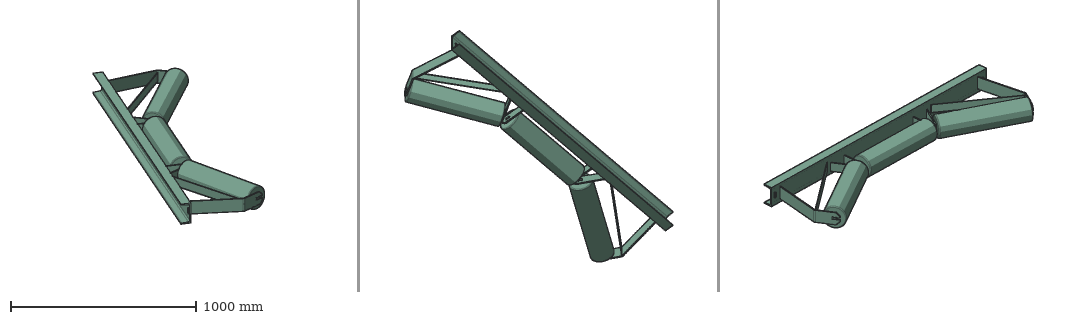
import cadquery as cq
import math

BEAM_LENGTH = 1700.0
BEAM_HEIGHT = 120.0
BEAM_WIDTH = 56.0
WEB_THICKNESS = 7.0
FLANGE_THICKNESS = 8.0
FLANGE_SLOPE = 0.08
ROOT_RADIUS = 8.0
TIP_RADIUS = 4.2
BOLT_SLOT_LENGTH = 35.0
BOLT_SLOT_WIDTH = 15.0
BOLT_SLOT_INSET = 30.0

ROLLER_DIAMETER = 135.0
ROLLER_LENGTH = 529.0
ROLLER_EDGE_RADIUS = 5.0
SHAFT_RADIUS = 12.0
SHAFT_FLAT_WIDTH = 14.0
CENTER_ROLLER_Y = 175.0
CENTER_ROLLER_Z = -17.0
TROUGH_ANGLE = 30.0
TILT_ANGLE = 2.0
SIDE_ROLLER_X = 542.0
SIDE_ROLLER_Y = 316.0
SIDE_ROLLER_Z = CENTER_ROLLER_Z + ROLLER_LENGTH / 2 * math.sin(math.radians(TILT_ANGLE))

ROLLER_GAP = 4.2
BRACKET_THICKNESS = 7.6
INNER_WIDTH = 55.0
INNER_BEND_RADIUS = 17.0
OUTER_WIDTH = 76.0
OUTER_BEND_RADIUS = 15.0
OUTER_BEND_DROP = 109.0
OUTER_TOP_RISE = 34.0
OUTER_END_CHAMFER = 22.0
OUTER_FOOT_X = 784.0
SHAFT_STUB = ROLLER_GAP + BRACKET_THICKNESS

TIE_THICKNESS = 5.0
TIE_WIDTH = 51.0
TIE_FOOT_X = 415.0

AXIS = cq.Vector(math.cos(math.radians(TROUGH_ANGLE)), -math.sin(math.radians(TROUGH_ANGLE)))
ACROSS = cq.Vector(-AXIS.y, AXIS.x)
SIDE_CENTER = cq.Vector(-SIDE_ROLLER_X, SIDE_ROLLER_Y)
FACE_REACH = ROLLER_LENGTH / 2 + ROLLER_GAP

OUTER_FACE = SIDE_CENTER - AXIS * (FACE_REACH + BRACKET_THICKNESS)
OUTER_BEND = OUTER_FACE - ACROSS * OUTER_BEND_DROP


def make_beam():
    """Channel along X with one upright bolt slot near each end of its web."""
    half = BEAM_HEIGHT / 2
    rise = FLANGE_SLOPE * BEAM_WIDTH / 2
    tip = half - FLANGE_THICKNESS + rise
    root = half - FLANGE_THICKNESS - rise + FLANGE_SLOPE * WEB_THICKNESS
    inside = BEAM_WIDTH - WEB_THICKNESS
    beam = (
        cq.Workplane("YZ")
        .polyline([
            (0, -half), (BEAM_WIDTH, -half), (BEAM_WIDTH, half), (0, half),
            (0, tip), (inside, root), (inside, -root), (0, -tip),
        ])
        .close()
        .extrude(BEAM_LENGTH / 2, both=True)
    )
    for side in (-1, 1):
        beam = beam.edges(cq.NearestToPointSelector((0, inside, side * root))).fillet(ROOT_RADIUS)
        beam = beam.edges(cq.NearestToPointSelector((0, 0, side * tip))).fillet(TIP_RADIUS)
    slots = (
        cq.Workplane("XZ")
        .pushPoints([(side * (BEAM_LENGTH / 2 - BOLT_SLOT_INSET), 0) for side in (-1, 1)])
        .slot2D(BOLT_SLOT_LENGTH, BOLT_SLOT_WIDTH, 90)
        .extrude(-BEAM_WIDTH)
    )
    return beam.cut(slots)


def centered_cylinder(radius, length):
    """Cylinder along X, centred on the origin."""
    start = cq.Plane(origin=(-length / 2, 0, 0), xDir=(0, 0, 1), normal=(1, 0, 0))
    return cq.Workplane(start).circle(radius).extrude(length)


def make_shaft():
    """Round bar along X with two flats facing +Z and -Z."""
    length = ROLLER_LENGTH + 2 * SHAFT_STUB
    bar = centered_cylinder(SHAFT_RADIUS, length)
    return bar.intersect(cq.Workplane().box(length, 2 * SHAFT_RADIUS, SHAFT_FLAT_WIDTH))


def make_roller():
    """Roller along X, centred on the origin, with its shaft ends."""
    shell = centered_cylinder(ROLLER_DIAMETER / 2, ROLLER_LENGTH)
    return shell.edges().fillet(ROLLER_EDGE_RADIUS).union(make_shaft())


def place_center(body):
    return body.translate((0, CENTER_ROLLER_Y, CENTER_ROLLER_Z))


def place_left(body):
    tilted = body.rotate((0, 0, 0), (0, 1, 0), TILT_ANGLE)
    turned = tilted.rotate((0, 0, 0), (0, 0, 1), -TROUGH_ANGLE)
    return turned.translate((-SIDE_ROLLER_X, SIDE_ROLLER_Y, SIDE_ROLLER_Z))


def to_side(body, side):
    """Left-hand bodies stay (-1) or are mirrored to the right (1)."""
    return body if side < 0 else body.mirror("YZ")


def line_at_y(point, direction, y):
    """Point where the line through point reaches the given Y."""
    return point + direction * ((y - point.y) / direction.y)


def trim_at_beam(body):
    """Cut away what reaches below the beam's back face."""
    block = cq.Workplane().box(2 * BEAM_LENGTH, BEAM_LENGTH, BEAM_LENGTH)
    return body.cut(block.translate((0, BEAM_WIDTH - BEAM_LENGTH / 2, 0)))


def extrude_outline(points, width):
    """Prism on an XY outline, its width centred on Z = 0."""
    outline = cq.Workplane("XY").polyline([(p.x, p.y) for p in points]).close()
    return outline.extrude(width / 2, both=True)


def bent_strip(start, corner, end, thickness, bend_radius, width):
    """Flat bar bent once; start-corner-end is its outer side, material lies to the right of it."""
    normals = []
    for a, b in ((start, corner), (corner, end)):
        along = (b - a).normalized()
        normals.append(cq.Vector(along.y, -along.x))
    first, second = normals
    inner_corner = corner + (first + second) * (thickness / (1 + first.dot(second)))
    points = [start, corner, end, end + second * thickness, inner_corner, start + first * thickness]
    strip = extrude_outline(points, width)
    for point, radius in ((corner, bend_radius), (inner_corner, bend_radius - thickness)):
        strip = strip.edges("|Z").edges(cq.NearestToPointSelector(point.toTuple())).fillet(radius)
    return strip


def make_inner_bracket():
    """Hooked bar that carries the left and centre rollers' neighbouring shaft ends."""
    side_face = SIDE_CENTER + AXIS * FACE_REACH
    center_face_x = -FACE_REACH
    apex = side_face + ACROSS * ((center_face_x - side_face.x) / ACROSS.x)
    left_foot = line_at_y(side_face, ACROSS, 0)
    right_foot = cq.Vector(center_face_x, 0)
    bar = bent_strip(left_foot, apex, right_foot, BRACKET_THICKNESS, INNER_BEND_RADIUS, INNER_WIDTH)
    bar = trim_at_beam(bar.translate((0, 0, CENTER_ROLLER_Z)))
    return bar.cut(place_center(make_shaft())).cut(place_left(make_shaft()))


def make_outer_bracket():
    """Bent bar with a slotted upper end that takes the left roller's outer shaft end."""
    top = OUTER_FACE + ACROSS * OUTER_TOP_RISE
    foot = cq.Vector(-OUTER_FOOT_X, BEAM_WIDTH)
    leg = (OUTER_BEND - foot).normalized()
    start = line_at_y(foot, leg, 0)
    bar = bent_strip(start, OUTER_BEND, top, BRACKET_THICKNESS, OUTER_BEND_RADIUS, OUTER_WIDTH)
    end_middle = top + AXIS * (BRACKET_THICKNESS / 2)
    for side in (-1, 1):
        corner = (end_middle.x, end_middle.y, side * OUTER_WIDTH / 2)
        bar = bar.edges(cq.NearestToPointSelector(corner)).chamfer(OUTER_END_CHAMFER)
    mouth_length = ROLLER_LENGTH + 4 * SHAFT_STUB
    mouth_depth = 2 * OUTER_TOP_RISE
    mouth = cq.Workplane().box(
        mouth_length, mouth_depth, SHAFT_FLAT_WIDTH, centered=(True, False, True)
    )
    return trim_at_beam(bar).cut(place_left(mouth.union(make_shaft())))


def make_tie():
    """Straight flat bar from the beam to the inside of the outer bracket's bend."""
    head = OUTER_BEND + AXIS * (BRACKET_THICKNESS / 2)
    foot = cq.Vector(-TIE_FOOT_X, BEAM_WIDTH)
    along = (head - foot).normalized()
    offset = cq.Vector(along.y, -along.x) * TIE_THICKNESS
    points = [
        line_at_y(foot, along, 0),
        head,
        head + offset,
        line_at_y(foot + offset, along, 0),
    ]
    return trim_at_beam(extrude_outline(points, TIE_WIDTH)).cut(make_outer_bracket())


beam = make_beam()
center_roller = place_center(make_roller())
side_rollers = [to_side(place_left(make_roller()), side) for side in (-1, 1)]
inner_brackets = [to_side(make_inner_bracket(), side) for side in (-1, 1)]
outer_brackets = [to_side(make_outer_bracket(), side) for side in (-1, 1)]
ties = [to_side(make_tie(), side) for side in (-1, 1)]

bodies = [beam, center_roller, *side_rollers, *inner_brackets, *outer_brackets, *ties]
result = cq.Compound.makeCompound([body.solids().val() for body in bodies])